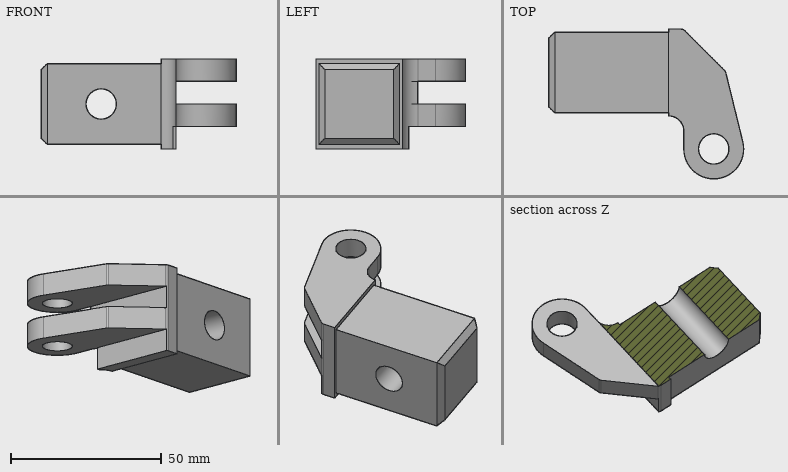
import cadquery as cq
import math

length = 65.0
height = 30.0

plug_length = 39.95
plug_side = 26.95
plug_chamfer = 2.0
cross_hole_diameter = 10.0
cross_hole_x = plug_length / 2

flange_thickness = 5.0
flange_width = 29.0
flange_foot_width = 31.0
flange_end_x = plug_length + flange_thickness
bevel_start_x = 44.75
bevel_run = 14.15
corner_radius = 1.5
lug_thickness = height / 4
eye_radius = 10.0
pin_diameter = 10.0
eye_x = length - eye_radius
eye_y = -39.95


def make_plug():
    """Square bar with a chamfered free end and a cross hole along Y."""
    plug = (
        cq.Workplane("XY")
        .box(plug_length, plug_side, plug_side, centered=(False, True, True))
        .faces("<X")
        .chamfer(plug_chamfer)
    )
    cross_hole = (
        cq.Workplane("XZ")
        .center(cross_hole_x, 0)
        .circle(cross_hole_diameter / 2)
        .extrude(plug_side, both=True)
    )
    return plug.cut(cross_hole).translate((0, -flange_width / 2, 0))


def make_bracket():
    """Full-height flange and lug profile, with its outer bevel corners rounded."""
    bevel_x = bevel_start_x + bevel_run
    bevel_y = -bevel_run

    to_bevel_x = bevel_x - eye_x
    to_bevel_y = bevel_y - eye_y
    tangent_angle = math.atan2(to_bevel_y, to_bevel_x) - math.acos(
        eye_radius / math.hypot(to_bevel_x, to_bevel_y)
    )
    tangent_point = (
        eye_x + eye_radius * math.cos(tangent_angle),
        eye_y + eye_radius * math.sin(tangent_angle),
    )

    relief_radius = flange_thickness
    relief_end_y = -flange_width - relief_radius
    relief_middle = (
        plug_length + relief_radius * math.sqrt(0.5),
        relief_end_y + relief_radius * math.sqrt(0.5),
    )
    bracket = (
        cq.Workplane("XY")
        .workplane(offset=-height / 2)
        .moveTo(plug_length, 0)
        .lineTo(bevel_start_x, 0)
        .lineTo(bevel_x, bevel_y)
        .lineTo(*tangent_point)
        .threePointArc((eye_x, eye_y - eye_radius), (eye_x - eye_radius, eye_y))
        .lineTo(flange_end_x, relief_end_y)
        .threePointArc(relief_middle, (plug_length, -flange_width))
        .close()
        .extrude(height)
    )
    for x, y in ((bevel_start_x, 0), (bevel_x, bevel_y)):
        corner = cq.selectors.NearestToPointSelector((x, y, 0))
        bracket = bracket.edges("|Z").edges(corner).fillet(corner_radius)
    return bracket


def clearance(x_start, y_end, z_bottom):
    """Block one lug thick, clearing everything beyond x_start and below y_end."""
    return cq.Workplane("XY").box(length, length, lug_thickness, centered=False).translate(
        (x_start, y_end - length, z_bottom)
    )


foot_bottom = -height / 2
gap_bottom = foot_bottom + 2 * lug_thickness

pin_hole = (
    cq.Workplane("XY").center(eye_x, eye_y).circle(pin_diameter / 2).extrude(height, both=True)
)

result = (
    make_bracket()
    .cut(clearance(flange_end_x, 0, gap_bottom))
    .cut(clearance(flange_end_x, 0, foot_bottom))
    .cut(clearance(plug_length, -flange_foot_width, foot_bottom))
    .cut(pin_hole)
    .union(make_plug())
)